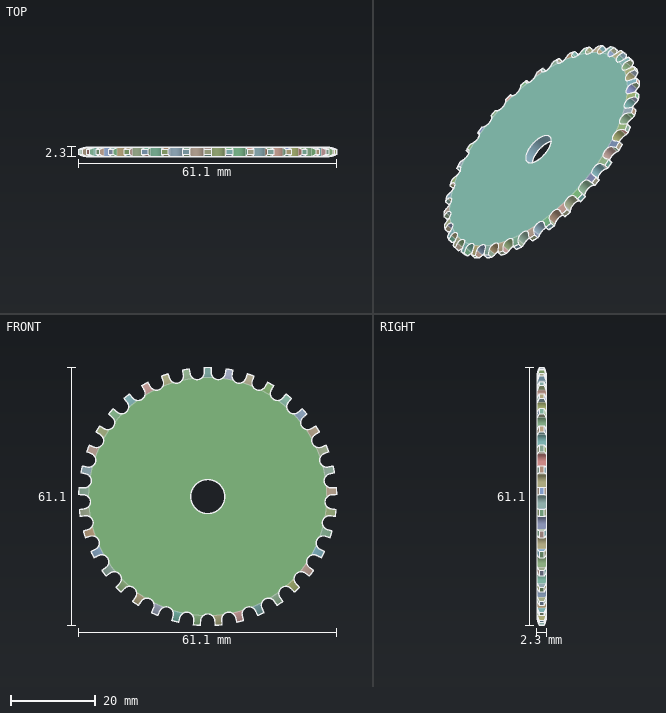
import cadquery as cq
import math

tooth_count = 37
tip_radius = 30.55
thickness = 2.3
bore_diameter = 8.0
seat_radius = 1.65
root_radius = 27.8
face_radius = 28.15
side_curve_radius = 5.0
cutter_overrun = 0.6

half_thickness = thickness / 2
tooth_angle = 360 / tooth_count
half_tooth_angle = math.radians(tooth_angle / 2)
seat_center = root_radius + seat_radius


def side_inset(radius):
    """Distance of the curved tooth side from the flat face plane at a given radius."""
    reach = radius - face_radius
    return side_curve_radius - math.sqrt(side_curve_radius**2 - reach**2)


def make_blank():
    """Disc about the Y axis whose rim narrows towards the tips along two arcs."""
    mid_radius = (face_radius + tip_radius) / 2
    tip_half_width = half_thickness - side_inset(tip_radius)
    mid_half_width = half_thickness - side_inset(mid_radius)
    bore_radius = bore_diameter / 2
    return (
        cq.Workplane("XY")
        .moveTo(bore_radius, -half_thickness)
        .lineTo(face_radius, -half_thickness)
        .threePointArc((mid_radius, -mid_half_width), (tip_radius, -tip_half_width))
        .lineTo(tip_radius, tip_half_width)
        .threePointArc((mid_radius, mid_half_width), (face_radius, half_thickness))
        .lineTo(bore_radius, half_thickness)
        .close()
        .revolve(360, (0, 0, 0), (0, 1, 0))
    )


def make_gap_cutter():
    """Prism for one tooth gap on +Z: a round seat whose tangent flanks follow the tooth axes."""
    outer_z = tip_radius + cutter_overrun
    flank_x = seat_radius * math.cos(half_tooth_angle)
    flank_z = seat_center - seat_radius * math.sin(half_tooth_angle)
    outer_x = flank_x + (outer_z - flank_z) * math.tan(half_tooth_angle)
    return (
        cq.Workplane("XZ")
        .moveTo(-outer_x, outer_z)
        .lineTo(-flank_x, flank_z)
        .threePointArc((0, root_radius), (flank_x, flank_z))
        .lineTo(outer_x, outer_z)
        .close()
        .extrude(half_thickness + cutter_overrun, both=True)
    )


def make_gap_cutters():
    """All tooth gaps; one tooth points along +Z, so the gaps sit half a tooth angle beside it."""
    cutter = make_gap_cutter().val()
    cutters = cq.Workplane("XY")
    for index in range(tooth_count):
        gap_angle = (index + 0.5) * tooth_angle
        cutters = cutters.add(cutter.rotate(cq.Vector(0, 0, 0), cq.Vector(0, 1, 0), gap_angle))
    return cq.Compound.makeCompound(cutters.vals())


result = make_blank().cut(make_gap_cutters())